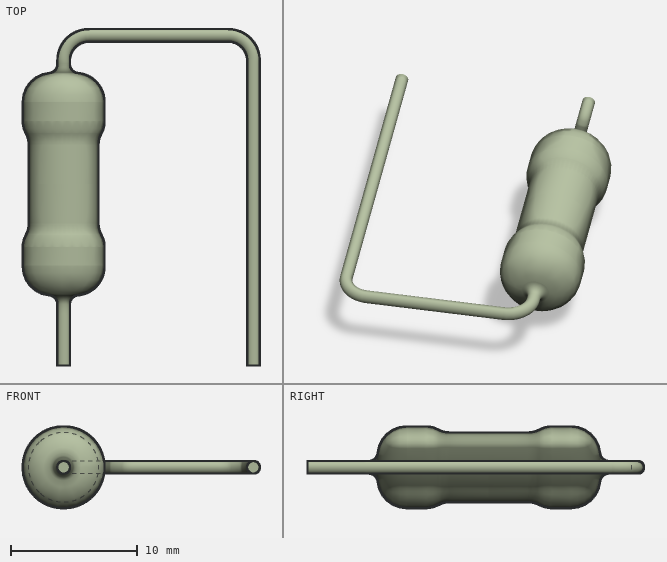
import cadquery as cq
import math


overall_length = 26.6
wire_radius = 0.5
lead_pitch = 15.0
bend_radius = 2.0

body_middle = 14.35
cap_radius = 3.25
neck_radius = 2.77
neck_half_length = 3.1
shoulder_length = 1.85
cap_band_length = 1.5
dome_radius = 2.35
root_fillet = 0.66

shoulder_end = neck_half_length + shoulder_length
dome_start = shoulder_end + cap_band_length

shoulder_middle = (
    (neck_radius + cap_radius) / 2,
    neck_half_length + shoulder_length / 2,
)

dome_center_radius = cap_radius - dome_radius
fillet_center_radius = wire_radius + root_fillet
center_distance = dome_radius + root_fillet
contact_angle = math.acos((fillet_center_radius - dome_center_radius) / center_distance)
root_end = dome_start + center_distance * math.sin(contact_angle)


def dome_point(angle):
    """Point on the dome arc, with the angle measured from the radial direction."""
    return (
        dome_center_radius + dome_radius * math.cos(angle),
        dome_start + dome_radius * math.sin(angle),
    )


def fillet_point(angle):
    """Point on the concave root fillet, with the angle measured below the inward radial."""
    return (
        fillet_center_radius - root_fillet * math.cos(angle),
        root_end - root_fillet * math.sin(angle),
    )


def make_half_body():
    """Revolve the half of the body on the +Y side of its middle plane."""
    profile = (
        cq.Workplane("XY")
        .moveTo(0, 0)
        .lineTo(neck_radius, 0)
        .lineTo(neck_radius, neck_half_length)
        .tangentArcPoint(shoulder_middle, relative=False)
        .tangentArcPoint((cap_radius, shoulder_end), relative=False)
        .lineTo(cap_radius, dome_start)
        .threePointArc(dome_point(contact_angle / 2), dome_point(contact_angle))
        .threePointArc(fillet_point(contact_angle / 2), (wire_radius, root_end))
        .lineTo(0, root_end)
        .close()
    )
    return profile.revolve(360, (0, 0, 0), (0, 1, 0))


def make_body():
    half = make_half_body()
    return half.union(half.mirror("XZ")).translate((0, body_middle, 0))


def make_wire():
    """Sweep the round wire through the body, around both bends and back to Y = 0."""
    top = overall_length - wire_radius
    bend_start = top - bend_radius
    bend_offset = bend_radius * (1 - math.sqrt(0.5))
    path = (
        cq.Workplane("XY")
        .lineTo(0, bend_start)
        .threePointArc((bend_offset, top - bend_offset), (bend_radius, top))
        .lineTo(lead_pitch - bend_radius, top)
        .threePointArc((lead_pitch - bend_offset, top - bend_offset), (lead_pitch, bend_start))
        .lineTo(lead_pitch, 0)
    )
    return cq.Workplane("XZ").circle(wire_radius).sweep(path)


result = make_body().union(make_wire()).solids()